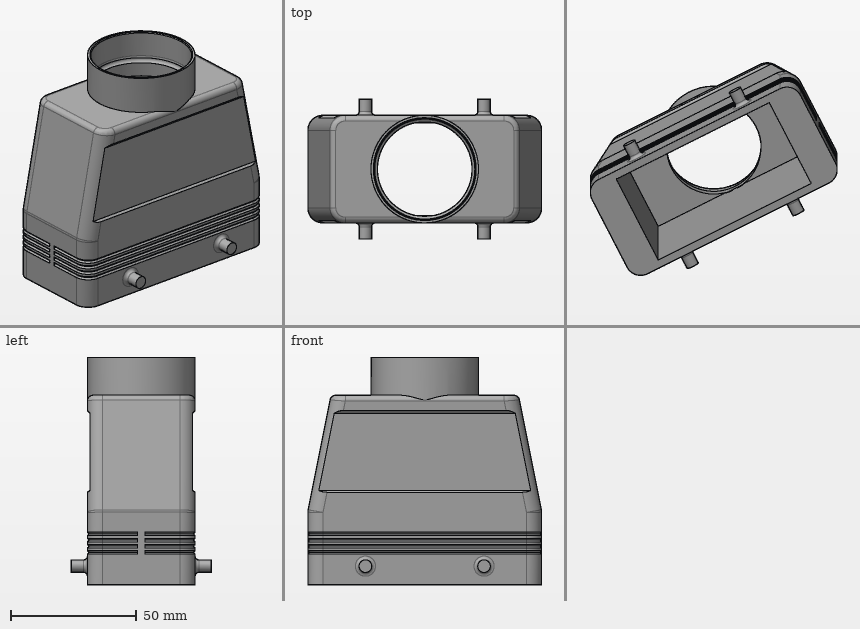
import cadquery as cq
import math

length = 93.5
width = 43.1
body_height = 75.8
skirt_height = 29.5
top_length = 75.0
corner_radius = 6.1
shoulder_radius = 4.7
top_edge_radius = 2.3

cavity_length = 68.6
cavity_width = 36.9
roof_thickness = 3.6
ceiling = body_height - roof_thickness

recess_depth = 1.0
recess_bottom = 37.0
recess_top = 69.75
recess_bottom_slope = 0.75
recess_top_slope = 1.2

groove_count = 4
groove_span = 7.4
groove_depth = 0.7
groove_slope = 45
lowest_groove = 13.0
groove_gap = 2.8

pin_diameter = 5.05
pin_span = 56.0
pin_spacing = 47.4
pin_height = 7.5
pin_fillet = 1.5
pin_sink = 0.9

total_height = 91.0
collar_radius = 21.5
mouth_radius = 20.2
mouth_chamfer = 0.4
mouth_depth = 10.5
relief_radius = 20.0
relief_height = 0.8
bore_radius = 18.9
seat_height = 1.7
bore_bottom = 71.1

groove_pitch = groove_span / (groove_count - 1)
half_length = length / 2
half_width = width / 2


def make_body():
    """Rounded block with straight ends up to the shoulder and leaning ends above it."""
    half_top = top_length / 2
    block = (
        cq.Workplane("XZ")
        .moveTo(-half_length, 0)
        .lineTo(half_length, 0)
        .lineTo(half_length, skirt_height)
        .lineTo(half_top, body_height)
        .lineTo(-half_top, body_height)
        .lineTo(-half_length, skirt_height)
        .close()
        .extrude(half_width, both=True)
    )
    shoulder_zone = cq.selectors.BoxSelector(
        (-length, -width, skirt_height - shoulder_radius),
        (length, width, skirt_height + shoulder_radius),
    )
    block = block.edges("|Y").edges(shoulder_zone).fillet(shoulder_radius)
    block = block.faces("<Y or >Y").edges("not(|X)").fillet(corner_radius)
    return block.faces(">Z").edges().fillet(top_edge_radius)


def make_cavity():
    return cq.Workplane("XY").rect(cavity_length, cavity_width).extrude(ceiling)


def make_recess():
    """Recess cutter for the -Y side, running the full length."""
    floor = -half_width + recess_depth
    return (
        cq.Workplane("YZ")
        .moveTo(-half_width, recess_bottom)
        .lineTo(floor, recess_bottom + recess_bottom_slope)
        .lineTo(floor, recess_top - recess_top_slope)
        .lineTo(-half_width, recess_top)
        .close()
        .extrude(half_length, both=True)
    )


def skirt_outline(z):
    sketch = cq.Sketch().rect(length, width).vertices().fillet(corner_radius)
    return cq.Workplane("XY", origin=(0, 0, z)).placeSketch(sketch)


def make_groove(apex):
    """V groove cutter: a slab less two tapered cores meeting at the apex, and less the end bridges."""
    bottom = apex - groove_depth
    top = apex + groove_depth
    groove_width = top - bottom
    slab = cq.Workplane("XY").box(length, width, groove_width).translate((0, 0, apex))
    lower_core = skirt_outline(bottom).extrude(groove_depth, taper=groove_slope)
    upper_core = skirt_outline(top).extrude(-groove_depth, taper=groove_slope)
    bridge = cq.Workplane("XY").box(length, groove_gap, groove_width).translate((0, 0, apex))
    return slab.cut(lower_core).cut(upper_core).cut(bridge)


def make_pin(x, y_direction):
    """Outward pin with a concave flared root, sunk a little into the wall."""
    radius = pin_diameter / 2
    flare_radius = radius + pin_fillet
    sunk_start = half_width - pin_sink
    arc_inset = pin_fillet * (1 - math.sqrt(0.5))
    pin = (
        cq.Workplane("XY")
        .moveTo(0, sunk_start)
        .lineTo(flare_radius, sunk_start)
        .lineTo(flare_radius, half_width)
        .threePointArc(
            (radius + arc_inset, half_width + arc_inset),
            (radius, half_width + pin_fillet),
        )
        .lineTo(radius, pin_span / 2)
        .lineTo(0, pin_span / 2)
        .close()
        .revolve(360, (0, 0, 0), (0, 1, 0))
    )
    if y_direction < 0:
        pin = pin.mirror("XZ")
    return pin.translate((x, 0, pin_height))


def make_collar():
    collar = cq.Workplane("XY", origin=(0, 0, ceiling)).circle(collar_radius)
    return collar.extrude(total_height - ceiling)


def make_bore():
    """Bore cutter: chamfered mouth, small relief, rounded seat, then the narrower through bore."""
    mouth_floor = total_height - mouth_depth
    seat_top = mouth_floor - relief_height
    seat_bottom = seat_top - seat_height
    seat_width = relief_radius - bore_radius
    seat_middle = (
        bore_radius + seat_width * math.sqrt(0.5),
        seat_top - seat_height * math.sqrt(0.5),
    )
    return (
        cq.Workplane("XZ")
        .moveTo(0, bore_bottom)
        .lineTo(bore_radius, bore_bottom)
        .lineTo(bore_radius, seat_bottom)
        .threePointArc(seat_middle, (relief_radius, seat_top))
        .lineTo(mouth_radius, mouth_floor)
        .lineTo(mouth_radius, total_height - mouth_chamfer)
        .lineTo(mouth_radius + mouth_chamfer, total_height)
        .lineTo(0, total_height)
        .close()
        .revolve(360, (0, 0, 0), (0, 1, 0))
    )


recess = make_recess()
result = make_body().cut(recess).cut(recess.mirror("XZ"))
for index in range(groove_count):
    result = result.cut(make_groove(lowest_groove + index * groove_pitch))
for x in (-pin_spacing / 2, pin_spacing / 2):
    for y_direction in (-1, 1):
        result = result.union(make_pin(x, y_direction))
result = result.union(make_collar()).cut(make_cavity()).cut(make_bore())